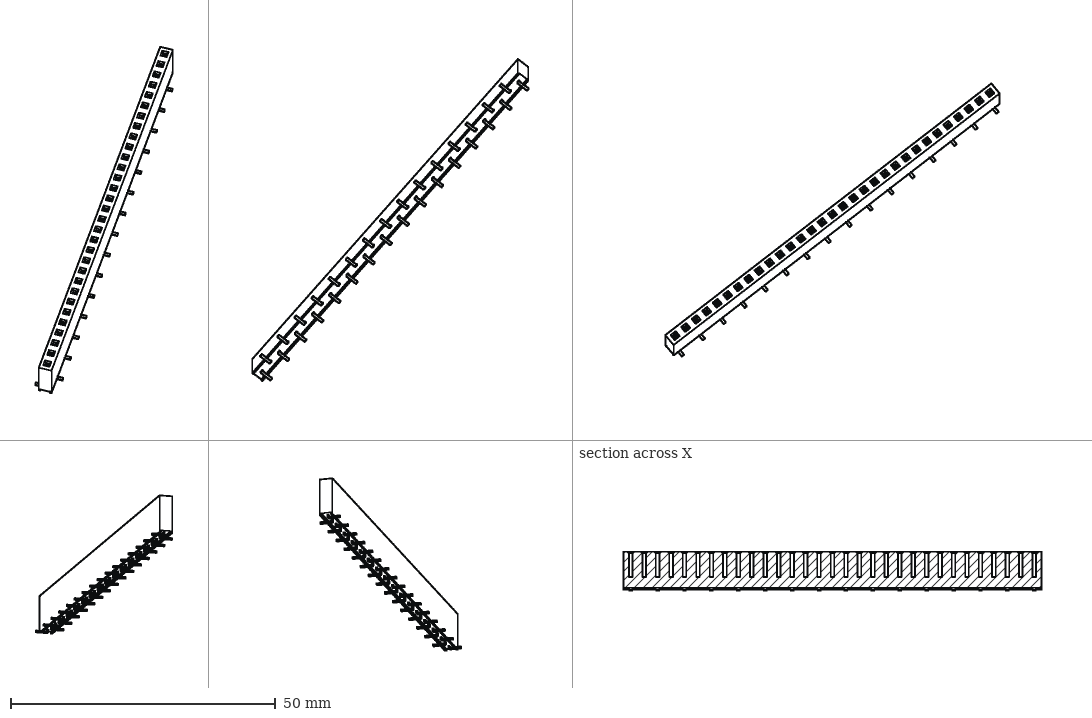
import cadquery as cq

length = 78.95
height = 7.4
lead_span = 4.65

housing_width = 2.5
standoff = 0.28
channel_width = 1.9
channel_depth = 0.3

contact_count = 31
row_span = 76.2

bore_size = 0.6
lead_in = 0.3
bore_depth = 4.7

strip_thickness = 0.2
strip_width = 0.55
inner_bend_radius = 0.1
tine_recess = 0.8

pitch = row_span / (contact_count - 1)
contact_positions = [(0, row_span / 2 - i * pitch) for i in range(contact_count)]
channel_top = standoff + channel_depth
bore_floor = height - bore_depth
mouth_size = bore_size + 2 * lead_in


def box_between(size_x, size_y, bottom, top):
    """Box centred on the Z axis, from one height to another."""
    return cq.Workplane("XY").workplane(offset=bottom).rect(size_x, size_y).extrude(top - bottom)


def copies_at(shape, positions):
    """Copies of a shape moved from the origin to each position."""
    return cq.Workplane("XY").pushPoints(positions).eachpoint(lambda place: shape.moved(place))


def make_housing():
    """Long block with a channel along its underside."""
    block = box_between(housing_width, length, standoff, height)
    channel = box_between(channel_width, length, standoff, channel_top)
    return block.cut(channel)


def make_socket():
    """Cutting body of one socket: a square blind bore with a tapered mouth."""
    mouth = (
        cq.Workplane("XY")
        .workplane(offset=height)
        .rect(mouth_size, mouth_size)
        .workplane(offset=-lead_in)
        .rect(bore_size, bore_size)
        .loft()
    )
    bore = box_between(bore_size, bore_size, bore_floor, height)
    return mouth.union(bore).val()


def make_tine():
    """Upper end of one contact, standing on the bore floor."""
    return box_between(strip_thickness, strip_width, bore_floor, height - tine_recess).val()


def make_tail():
    """Lower end of one contact: a strip coming down from the channel and bent flat towards +X."""
    half_strip = strip_thickness / 2
    lead_tip = lead_span / 2
    outer_bend_radius = inner_bend_radius + strip_thickness
    return (
        cq.Workplane("XZ", origin=(0, strip_width / 2, 0))
        .moveTo(lead_tip, 0)
        .lineTo(outer_bend_radius - half_strip, 0)
        .radiusArc((-half_strip, outer_bend_radius), outer_bend_radius)
        .lineTo(-half_strip, channel_top)
        .lineTo(half_strip, channel_top)
        .lineTo(half_strip, outer_bend_radius)
        .radiusArc((half_strip + inner_bend_radius, strip_thickness), -inner_bend_radius)
        .lineTo(lead_tip, strip_thickness)
        .close()
        .extrude(strip_width)
        .val()
    )


right_tail = make_tail()
left_tail = right_tail.mirror("YZ")

result = (
    make_housing()
    .cut(copies_at(make_socket(), contact_positions))
    .union(copies_at(make_tine(), contact_positions))
    .union(copies_at(left_tail, contact_positions[0::2]))
    .union(copies_at(right_tail, contact_positions[1::2]))
)